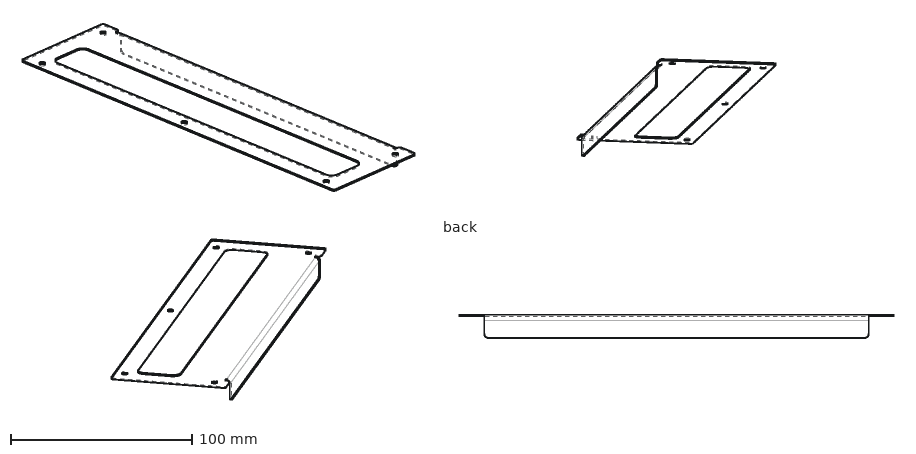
import cadquery as cq
import math

length = 240.0
width = 65.0
height = 13.0
thickness = 1.0
corner_radius = 1.5

flange_length = 212.2
bend_inner_radius = 2.2
bend_outer_radius = bend_inner_radius + thickness
flange_corner_radius = 2.5

notch_length = 214.8
notch_corner_radius = 2.0

window_length = 215.0
window_width = 24.5
window_front = 11.3
window_radius = 4.5

hole_diameter = 3.0
back_hole_x = 112.0
back_hole_y = 57.0
front_hole_x = 109.0
front_hole_y = 5.3

bend_start_y = width - bend_outer_radius


def block(size_x, size_y, front_y):
    """Block through the sheet, centred in X, starting at front_y."""
    return (
        cq.Workplane("XY", origin=(0, front_y, -thickness))
        .box(size_x, size_y, thickness, centered=(True, False, False))
    )


def make_plate():
    plate = block(length, width, 0).edges("|Z").fillet(corner_radius)
    plate = plate.cut(block(notch_length, bend_outer_radius, bend_start_y))
    notch_half = notch_length / 2
    for side in (-1, 1):
        notch_corner = cq.selectors.NearestToPointSelector((side * notch_half, width, -thickness / 2))
        plate = plate.edges(notch_corner).fillet(notch_corner_radius)
    window = block(window_length, window_width, window_front).edges("|Z").fillet(window_radius)
    plate = plate.cut(window)
    hole_centers = [(0, front_hole_y)]
    for side in (-1, 1):
        hole_centers.append((side * back_hole_x, back_hole_y))
        hole_centers.append((side * front_hole_x, front_hole_y))
    holes = (
        cq.Workplane("XY", origin=(0, 0, -thickness))
        .pushPoints(hole_centers)
        .circle(hole_diameter / 2)
        .extrude(thickness)
    )
    return plate.cut(holes)


def make_flange():
    """Bend and downward flange, as a Y-Z section extruded along X."""
    diagonal = math.sqrt(0.5)
    outer_mid = bend_outer_radius * diagonal
    inner_mid = bend_inner_radius * diagonal
    bend_z = -bend_outer_radius
    flange = (
        cq.Workplane("YZ")
        .moveTo(bend_start_y, 0)
        .threePointArc((bend_start_y + outer_mid, bend_z + outer_mid), (width, bend_z))
        .lineTo(width, -height)
        .lineTo(width - thickness, -height)
        .lineTo(width - thickness, bend_z)
        .threePointArc((bend_start_y + inner_mid, bend_z + inner_mid), (bend_start_y, -thickness))
        .close()
        .extrude(flange_length / 2, both=True)
    )
    lower_corners = cq.selectors.BoxSelector(
        (-length, bend_start_y, -height - thickness),
        (length, width + thickness, -height + thickness),
    )
    return flange.edges("|Y").edges(lower_corners).fillet(flange_corner_radius)


result = make_plate().union(make_flange())